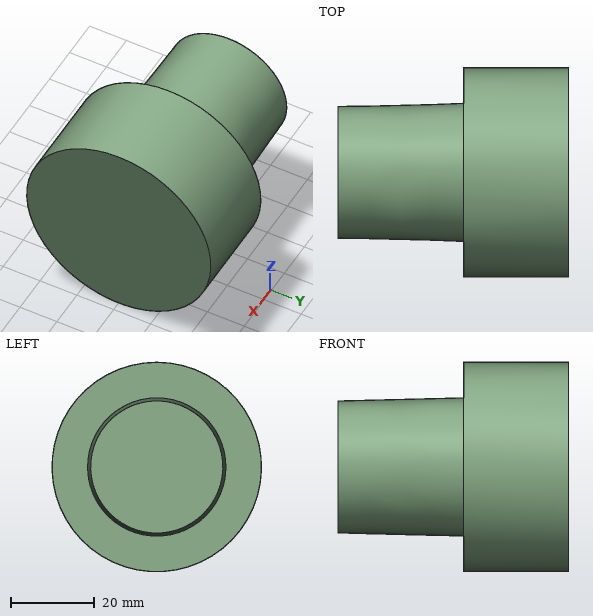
import cadquery as cq

total_length = 55.0
head_diameter = 50.0
head_length = 25.0
shank_base_diameter = 33.0
shank_tip_diameter = 31.5

shank_length = total_length - head_length

half_section = (
    cq.Workplane("XZ")
    .moveTo(0, 0)
    .lineTo(0, shank_tip_diameter / 2)
    .lineTo(shank_length, shank_base_diameter / 2)
    .lineTo(shank_length, head_diameter / 2)
    .lineTo(total_length, head_diameter / 2)
    .lineTo(total_length, 0)
    .close()
)

result = half_section.revolve(360, (0, 0, 0), (1, 0, 0))